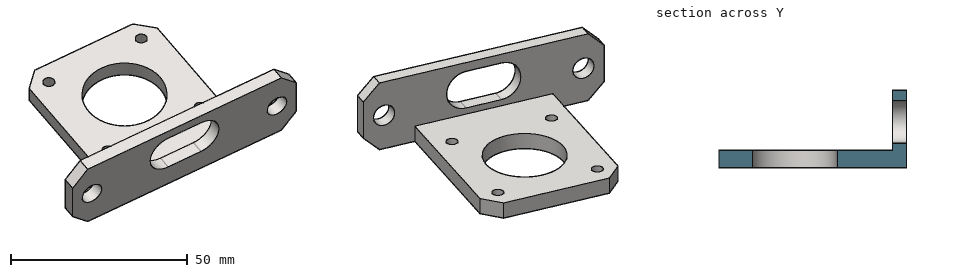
import cadquery as cq

length_x = 53.0
flange_width = 75
flange_height = 22.0

flange_thickness = 4.0
base_width = 43.0
base_thickness = 5.0
corner_chamfer = 5.0

pilot_diameter = 24
screw_diameter = 3.4
screw_spacing = 31.0
motor_x = base_width / 2

mount_diameter = 6.5
mount_spacing = 62.0
slot_length = 23.0
slot_height = 12
slot_center_z = 13.05

flange_x = length_x - flange_thickness


def make_base():
    """Horizontal motor plate with its two free corners cut off."""
    base = (
        cq.Workplane("XY")
        .box(length_x, base_width, base_thickness, centered=(False, True, False))
        .edges("|Z and <X")
        .chamfer(corner_chamfer)
    )
    motor_face = base.faces(">Z").workplane(origin=(motor_x, 0, 0))
    base = motor_face.hole(pilot_diameter)
    screw_face = base.faces(">Z").workplane(origin=(motor_x, 0, 0))
    return screw_face.rect(screw_spacing, screw_spacing, forConstruction=True).vertices().hole(screw_diameter)


def make_flange():
    """Upright plate with four cut corners, two mounting holes and a slot."""
    flange = (
        cq.Workplane("XY")
        .box(flange_thickness, flange_width, flange_height, centered=(False, True, False))
        .edges("|X")
        .chamfer(corner_chamfer)
    )
    holes = (
        cq.Workplane("YZ")
        .center(0, flange_height / 2)
        .pushPoints([(-mount_spacing / 2, 0), (mount_spacing / 2, 0)])
        .circle(mount_diameter / 2)
        .extrude(flange_thickness)
    )
    slot = (
        cq.Workplane("YZ")
        .center(0, slot_center_z)
        .slot2D(slot_length, slot_height)
        .extrude(flange_thickness)
    )
    return flange.cut(holes).cut(slot).translate((flange_x, 0, 0))


result = make_base().union(make_flange())